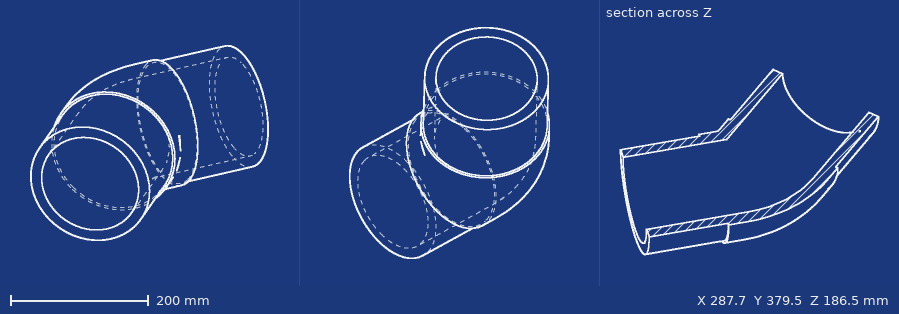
import cadquery as cq
import math

overall_length = 379.5
bend_angle = 45.0
body_diameter = 186.5
spigot_diameter = 180.0
bore_diameter = 147.0
collar_length = 28.5

cos_bend = math.cos(math.radians(bend_angle))
sin_bend = math.sin(math.radians(bend_angle))


def bend_setback(diameter):
    """Distance from the crossing of the pipe axes to either end of a bend with radius diameter / 2."""
    return diameter / 2 * math.tan(math.radians(bend_angle / 2))


body_setback = bend_setback(body_diameter)

end_face_rise = spigot_diameter / 2 * sin_bend
leg_reach = (overall_length - end_face_rise) / (1 + cos_bend)

first_leg = cq.Plane(origin=(0, body_setback, 0), xDir=(1, 0, 0), normal=(0, -1, 0))
second_leg = cq.Plane(
    origin=(0, body_setback, 0),
    xDir=(cos_bend, -sin_bend, 0),
    normal=(sin_bend, cos_bend, 0),
)


def straight(leg, diameter, start, end):
    """Cylinder along a leg, between two distances from the axis crossing."""
    return cq.Workplane(leg).workplane(offset=start).circle(diameter / 2).extrude(end - start)


def elbow(diameter, straight_end):
    """Bend turning about a point on its own wall, with a straight run on each leg."""
    setback = bend_setback(diameter)
    bend_radius = diameter / 2
    section = cq.Workplane(first_leg).workplane(offset=setback).circle(diameter / 2)
    solid = section.revolve(bend_angle, (bend_radius, 3.8, 0), (bend_radius, 0, 0))
    for leg in (first_leg, second_leg):
        solid = solid.union(straight(leg, diameter, setback, straight_end))
    return solid


collar_end = body_setback + collar_length
outside = elbow(body_diameter, collar_end)

for leg in (first_leg, second_leg):
    outside = outside.union(straight(leg, spigot_diameter, body_setback, leg_reach))

bore = elbow(bore_diameter, leg_reach)
result = outside.cut(bore)